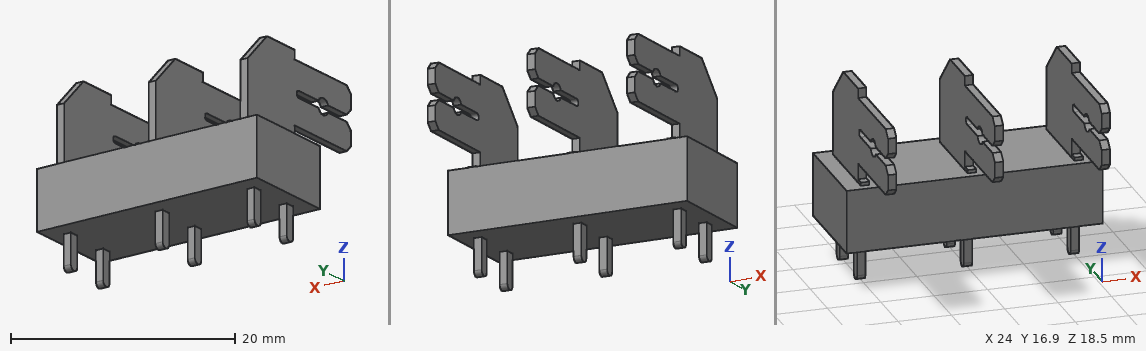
import cadquery as cq

HOUSING_LENGTH = 24.0
HOUSING_DEPTH = 9.8
HOUSING_HEIGHT = 6.0

TERMINAL_COUNT = 3
TERMINAL_PITCH = 10.0
SHEET_THICKNESS = 0.8

PLATE_INSET = 0.85
PLATE_DEPTH = 7.3
PLATE_HEIGHT = 9.0
PLATE_CHAMFER = 3.0
FOOT_LENGTH = 0.86
FOOT_HEIGHT = 0.3

BLADE_LENGTH = 8.7
BLADE_HEIGHT = 6.3
BLADE_DROP = 0.9
PRONG_CHAMFER = 0.67
SLOT_WIDTH = 0.67
SLOT_LENGTH = 8.4
DETENT_DIAMETER = 1.6
DETENT_FROM_TIP = 4.3

LEG_COUNT = 2
LEG_WIDTH = 1.0
LEG_PROTRUSION = 3.5
LEG_PITCH = 5.0
REAR_LEG_INSET = 2.38

plate_rear = -PLATE_INSET
plate_front = plate_rear - PLATE_DEPTH
blade_tip = plate_front - BLADE_LENGTH
blade_top = PLATE_HEIGHT - BLADE_DROP
blade_bottom = blade_top - BLADE_HEIGHT
blade_middle = (blade_top + blade_bottom) / 2
leg_centres = [-REAR_LEG_INSET - i * LEG_PITCH for i in range(LEG_COUNT)]
leg_bottom = -HOUSING_HEIGHT - LEG_PROTRUSION
terminal_centres = [(i - (TERMINAL_COUNT - 1) / 2) * TERMINAL_PITCH for i in range(TERMINAL_COUNT)]


def sheet_sketch(x_centre):
    """YZ workplane on the -X face of the terminal sheet centred at x_centre."""
    return cq.Workplane("YZ", origin=(x_centre - SHEET_THICKNESS / 2, 0, 0))


def make_plate(x_centre):
    """Upright plate with its chamfered rear corner and the foot at its base."""
    foot_front = plate_front - FOOT_LENGTH
    outline = [
        (plate_rear, 0),
        (plate_rear, PLATE_HEIGHT - PLATE_CHAMFER),
        (plate_rear - PLATE_CHAMFER, PLATE_HEIGHT),
        (plate_front, PLATE_HEIGHT),
        (plate_front, FOOT_HEIGHT),
        (foot_front, FOOT_HEIGHT),
        (foot_front, 0),
    ]
    return sheet_sketch(x_centre).polyline(outline).close().extrude(SHEET_THICKNESS)


def make_blade(x_centre):
    """Blade whose two prongs are chamfered on both corners of their tips."""
    chamfer_start = blade_tip + PRONG_CHAMFER
    upper_prong_bottom = blade_middle + SLOT_WIDTH / 2
    lower_prong_top = blade_middle - SLOT_WIDTH / 2
    outline = [
        (plate_front, blade_top),
        (chamfer_start, blade_top),
        (blade_tip, blade_top - PRONG_CHAMFER),
        (blade_tip, upper_prong_bottom + PRONG_CHAMFER),
        (chamfer_start, upper_prong_bottom),
        (chamfer_start, lower_prong_top),
        (blade_tip, lower_prong_top - PRONG_CHAMFER),
        (blade_tip, blade_bottom + PRONG_CHAMFER),
        (chamfer_start, blade_bottom),
        (plate_front, blade_bottom),
    ]
    return sheet_sketch(x_centre).polyline(outline).close().extrude(SHEET_THICKNESS)


def make_blade_cutout(x_centre):
    """Round-ended slot between the prongs, with the round detent hole across it."""
    slot_round_centre = blade_tip + SLOT_LENGTH - SLOT_WIDTH / 2
    slot = (
        sheet_sketch(x_centre)
        .moveTo(blade_tip, blade_middle + SLOT_WIDTH / 2)
        .lineTo(slot_round_centre, blade_middle + SLOT_WIDTH / 2)
        .threePointArc(
            (blade_tip + SLOT_LENGTH, blade_middle),
            (slot_round_centre, blade_middle - SLOT_WIDTH / 2),
        )
        .lineTo(blade_tip, blade_middle - SLOT_WIDTH / 2)
        .close()
        .extrude(SHEET_THICKNESS)
    )
    detent = (
        sheet_sketch(x_centre)
        .center(blade_tip + DETENT_FROM_TIP, blade_middle)
        .circle(DETENT_DIAMETER / 2)
        .extrude(SHEET_THICKNESS)
    )
    return slot.union(detent)


def make_leg(x_centre, y_centre):
    """Straight leg from the housing's top face down to a fully rounded tip."""
    radius = LEG_WIDTH / 2
    return (
        sheet_sketch(x_centre)
        .moveTo(y_centre - radius, 0)
        .lineTo(y_centre - radius, leg_bottom + radius)
        .threePointArc((y_centre, leg_bottom), (y_centre + radius, leg_bottom + radius))
        .lineTo(y_centre + radius, 0)
        .close()
        .extrude(SHEET_THICKNESS)
    )


def make_terminal(x_centre):
    """One sheet terminal: plate, split blade and two legs."""
    terminal = make_plate(x_centre).union(make_blade(x_centre)).cut(make_blade_cutout(x_centre))
    for y_centre in leg_centres:
        terminal = terminal.union(make_leg(x_centre, y_centre))
    return terminal.solids()


def make_housing():
    """Block with a rectangular through hole matching each terminal leg."""
    block = cq.Workplane("XY").box(
        HOUSING_LENGTH, HOUSING_DEPTH, HOUSING_HEIGHT, centered=(True, False, False)
    ).translate((0, -HOUSING_DEPTH, -HOUSING_HEIGHT))
    leg_positions = [(x, y) for x in terminal_centres for y in leg_centres]
    leg_holes = (
        cq.Workplane("XY")
        .pushPoints(leg_positions)
        .rect(SHEET_THICKNESS, LEG_WIDTH)
        .extrude(-HOUSING_HEIGHT)
    )
    return block.cut(leg_holes).solids()


housing = make_housing()
terminals = [make_terminal(x_centre) for x_centre in terminal_centres]

result = cq.Compound.makeCompound([housing.val(), *[terminal.val() for terminal in terminals]])